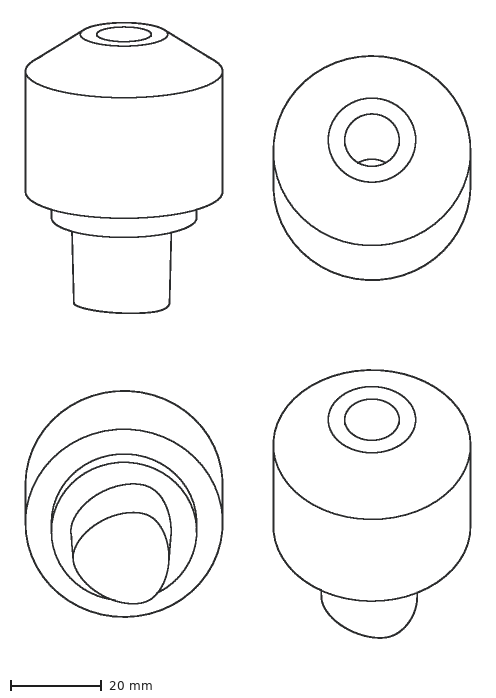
import cadquery as cq
import math

total_height = 61.0
body_diameter = 43.5
collar_diameter = 32.0
nose_diameter = 19.3
bore_diameter = 12.0

shank_height = 19.05
collar_height = 6.0
nose_height = 8.4
body_height = total_height - shank_height - collar_height - nose_height

shank_top_radius = 11.05
taper_ratio = 1 / 20
shank_bottom_radius = shank_top_radius - shank_height * taper_ratio / 2
lobe_height = 0.7
lobe_count = 3
curve_points = 72

bore_depth = nose_height + body_height


def polygon_curve(mean_radius):
    """Return the closed lobed curve, with one lobe pointing along +X."""

    def point(turn):
        angle = 2 * math.pi * turn
        reach = mean_radius + lobe_height * math.cos(lobe_count * angle)
        slope = -lobe_count * lobe_height * math.sin(lobe_count * angle)
        return (
            reach * math.cos(angle) - slope * math.sin(angle),
            reach * math.sin(angle) + slope * math.cos(angle),
        )

    return point


def make_shank():
    return (
        cq.Workplane("XY")
        .parametricCurve(polygon_curve(shank_bottom_radius), N=curve_points)
        .workplane(offset=shank_height)
        .parametricCurve(polygon_curve(shank_top_radius), N=curve_points)
        .loft(ruled=True, combine=True)
    )


def make_head():
    """Return the collar, the body and its conical nose as one turned solid."""
    collar_top = shank_height + collar_height
    body_top = collar_top + body_height
    return (
        cq.Workplane("XZ")
        .moveTo(0, shank_height)
        .lineTo(collar_diameter / 2, shank_height)
        .lineTo(collar_diameter / 2, collar_top)
        .lineTo(body_diameter / 2, collar_top)
        .lineTo(body_diameter / 2, body_top)
        .lineTo(nose_diameter / 2, total_height)
        .lineTo(0, total_height)
        .close()
        .revolve(360, (0, 0, 0), (0, 1, 0))
    )


def make_bore():
    return (
        cq.Workplane("XY", origin=(0, 0, total_height))
        .circle(bore_diameter / 2)
        .extrude(-bore_depth)
    )


result = make_head().union(make_shank()).cut(make_bore())